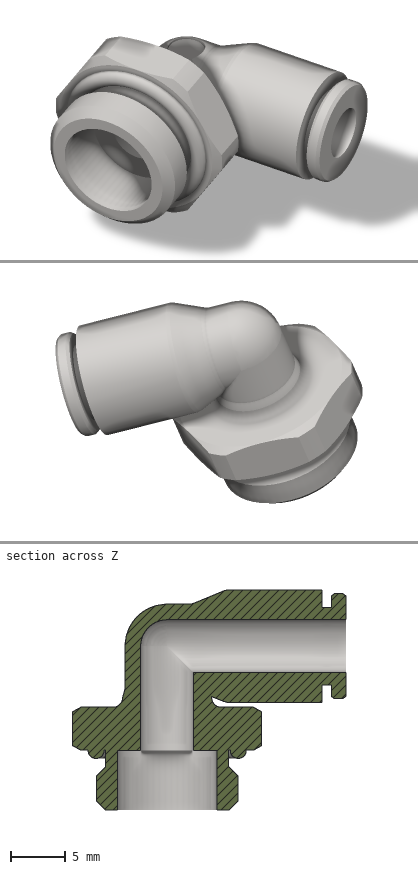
import cadquery as cq
import math


elbow_radius = 3.92
bore_radius = 2.43
recess_radius = 1.75
recess_floor_z = 3.31

flare_start_y = -3.95
flare_end_y = -4.78
flare_radius = 4.15
leg_fillet = 0.83

hex_across_flats = 16.0
hex_corner_radius = 8.75
hex_face_radius = 7.97
hex_chamfer_height = 0.43
hex_width = 4.02
hex_back_y = flare_end_y - leg_fillet
hex_front_y = hex_back_y - hex_width

seal_outer_radius = 7.34
seal_section_radius = 0.75

plug_end_y = -15.15
plug_radius = 6.58
plug_neck_radius = 5.72
plug_chamfer = plug_radius - plug_neck_radius
plug_shoulder_y = -12.02
socket_radius = 4.58
socket_depth = 5.5

step_start_x = 2.2
cone_start_x = 2.55
cone_start_radius = 4.02
cone_end_x = 5.24
cone_end_radius = 5.14
barrel_start_x = 5.62
barrel_end_x = 14.37
barrel_radius = 5.24
outlet_neck_radius = 3.6

overall_length = 25.3
collar_start_x = 15.18
collar_end_x = overall_length - hex_corner_radius
collar_radius = 4.88
collar_chamfer_width = 0.3
collar_chamfer_depth = 0.23


def revolve_about_y(profile):
    """Turn a closed profile drawn as (radius, y) about the Y axis."""
    return profile.close().revolve(360, (0, 0, 0), (0, 1, 0))


def revolve_about_x(profile):
    """Turn a closed profile drawn as (x, radius) about the X axis."""
    return profile.close().revolve(360, (0, 0, 0), (1, 0, 0))


def cylinder_along_y(radius, start_y, end_y):
    return revolve_about_y(
        cq.Workplane("XY")
        .moveTo(0, start_y)
        .lineTo(radius, start_y)
        .lineTo(radius, end_y)
        .lineTo(0, end_y)
    )


def make_inlet_leg():
    """Straight leg with a flare and a fillet running into the hexagon."""
    fillet_centre_radius = flare_radius + leg_fillet
    fillet_middle = (
        fillet_centre_radius - leg_fillet * math.sqrt(0.5),
        flare_end_y - leg_fillet * math.sqrt(0.5),
    )
    return revolve_about_y(
        cq.Workplane("XY")
        .lineTo(elbow_radius, 0)
        .lineTo(elbow_radius, flare_start_y)
        .lineTo(flare_radius, flare_end_y)
        .threePointArc(fillet_middle, (fillet_centre_radius, hex_back_y))
        .lineTo(0, hex_back_y)
    )


def make_hexagon():
    """Hexagon with flats facing +Z and -Z, its corners turned and chamfered on both sides."""
    corner_diameter = hex_across_flats / math.cos(math.pi / 6)
    prism = (
        cq.Workplane("XZ", origin=(0, hex_back_y, 0))
        .polygon(6, corner_diameter)
        .extrude(hex_width)
    )
    turned_blank = revolve_about_y(
        cq.Workplane("XY")
        .moveTo(0, hex_back_y)
        .lineTo(hex_face_radius, hex_back_y)
        .lineTo(hex_corner_radius, hex_back_y - hex_chamfer_height)
        .lineTo(hex_corner_radius, hex_front_y + hex_chamfer_height)
        .lineTo(hex_face_radius, hex_front_y)
        .lineTo(0, hex_front_y)
    )
    return prism.intersect(turned_blank)


def make_seal():
    """Round-section ring half sunk into the front face of the hexagon."""
    ring_radius = seal_outer_radius - seal_section_radius
    section = cq.Workplane("XY").center(ring_radius, hex_front_y).circle(seal_section_radius)
    return section.revolve(360, (-ring_radius, 0, 0), (-ring_radius, 1, 0))


def make_plug():
    """Plain thread plug with an undercut neck behind it and a chamfered end."""
    return revolve_about_y(
        cq.Workplane("XY")
        .moveTo(0, hex_front_y)
        .lineTo(plug_neck_radius, hex_front_y)
        .lineTo(plug_neck_radius, plug_shoulder_y + plug_chamfer)
        .lineTo(plug_radius, plug_shoulder_y)
        .lineTo(plug_radius, plug_end_y + plug_chamfer)
        .lineTo(plug_neck_radius, plug_end_y)
        .lineTo(0, plug_end_y)
    )


def make_outlet():
    """Tube outlet: elbow leg, cone, barrel, neck and release collar."""
    collar_edge_radius = collar_radius - collar_chamfer_depth
    return revolve_about_x(
        cq.Workplane("XY")
        .lineTo(0, elbow_radius)
        .lineTo(step_start_x, elbow_radius)
        .lineTo(cone_start_x, cone_start_radius)
        .lineTo(cone_end_x, cone_end_radius)
        .lineTo(barrel_start_x, barrel_radius)
        .lineTo(barrel_end_x, barrel_radius)
        .lineTo(barrel_end_x, outlet_neck_radius)
        .lineTo(collar_start_x, outlet_neck_radius)
        .lineTo(collar_start_x, collar_edge_radius)
        .lineTo(collar_start_x + collar_chamfer_width, collar_radius)
        .lineTo(collar_end_x - collar_chamfer_width, collar_radius)
        .lineTo(collar_end_x, collar_edge_radius)
        .lineTo(collar_end_x, 0)
    )


def make_flow_passage():
    """Socket and bore from the inlet, turning at the origin to leave through the outlet."""
    socket = cylinder_along_y(socket_radius, plug_end_y + socket_depth, plug_end_y)
    inlet_bore = cylinder_along_y(bore_radius, 0, plug_end_y)
    outlet_bore = cq.Workplane("YZ").circle(bore_radius).extrude(collar_end_x)
    turn = cq.Workplane("XY").sphere(bore_radius)
    return socket.union(inlet_bore).union(outlet_bore).union(turn)


def make_recess():
    return cq.Workplane("XY", origin=(0, 0, recess_floor_z)).circle(recess_radius).extrude(elbow_radius)


result = (
    cq.Workplane("XY")
    .sphere(elbow_radius)
    .union(make_inlet_leg())
    .union(make_outlet())
    .union(make_hexagon())
    .union(make_plug())
    .union(make_seal())
    .cut(make_flow_passage())
    .cut(make_recess())
)